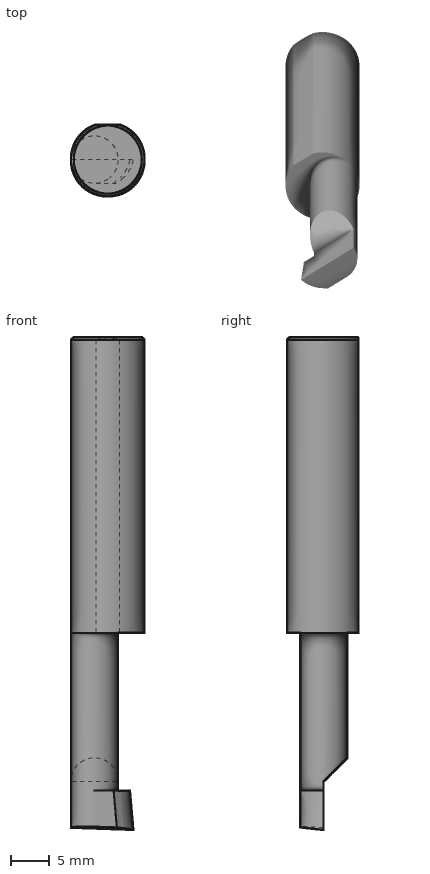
import cadquery as cq
import math


shank_diameter = 9.525
shank_radius = shank_diameter / 2
shank_length = 38.1
flat_offset = 4.51
chamfer_width = 0.38
chamfer_height = 0.38
overall_length = 63.49
shank_base_z = overall_length - shank_length

neck_diameter = 6.1
neck_radius = neck_diameter / 2
neck_x = neck_radius - shank_radius

ramp_start_z = 6.25
ramp_angle = 45

head_height = 5.08
tip_x = 3.31
side_clearance = 5
belly_x = 1.2
bevel_width = 0.9
bevel_angle = 40
arc_start_angle = 46

end_slope_x = 2
end_slope_y = 5


def make_shank():
    """Round shank with a chamfered top and one full-length locating flat."""
    half_profile = [
        (0, shank_base_z),
        (shank_radius, shank_base_z),
        (shank_radius, overall_length - chamfer_height),
        (shank_radius - chamfer_width, overall_length),
        (0, overall_length),
    ]
    shank = cq.Workplane("XZ").polyline(half_profile).close().revolve(360, (0, 0), (0, 1))
    beyond_flat = cq.Workplane("XY").box(
        shank_diameter, shank_diameter, overall_length, centered=(True, False, False)
    )
    return shank.cut(beyond_flat.translate((0, flat_offset, 0)))


def make_neck():
    """Plain round neck from the shank to the tip level."""
    return cq.Workplane("XY").center(neck_x, 0).circle(neck_radius).extrude(shank_base_z)


def make_chip_relief():
    """Volume on the +Y side, from the cutting face up to the ramp."""
    ramp_rise = shank_radius * math.tan(math.radians(ramp_angle))
    side_profile = [
        (0, 0),
        (shank_radius, 0),
        (shank_radius, ramp_start_z + ramp_rise),
        (0, ramp_start_z),
    ]
    side = cq.Workplane("YZ").polyline(side_profile).close()
    return side.extrude(shank_radius, both=True)


def head_section(workplane, shift):
    """Head outline with its cutting side moved by shift along X."""
    bevel_start = (belly_x + shift, -neck_radius)
    bevel_drop = bevel_width * math.tan(math.radians(bevel_angle))
    bevel_end = (bevel_start[0] + bevel_width, bevel_start[1] + bevel_drop)
    tip = (tip_x + shift, 0)

    chord = (tip[0] - bevel_end[0], tip[1] - bevel_end[1])
    chord_length = math.hypot(*chord)
    half_turn = math.atan2(chord[1], chord[0]) - math.radians(arc_start_angle)
    sagitta = chord_length / 2 * math.tan(half_turn / 2)
    middle = (
        (bevel_end[0] + tip[0]) / 2 + sagitta * chord[1] / chord_length,
        (bevel_end[1] + tip[1]) / 2 - sagitta * chord[0] / chord_length,
    )
    return (
        workplane.moveTo(neck_x, 0)
        .lineTo(neck_x, -neck_radius)
        .lineTo(*bevel_start)
        .lineTo(*bevel_end)
        .threePointArc(middle, tip)
        .close()
    )


def make_head():
    """Head whose cutting side leans outward towards the tip."""
    lean = head_height * math.tan(math.radians(side_clearance))
    lower = head_section(cq.Workplane("XY"), 0)
    upper = head_section(lower.workplane(offset=head_height), -lean)
    return upper.loft(ruled=True)


def make_end_clearance():
    """Volume below the sloping end face, whose lowest point is the tip."""
    size = overall_length
    block = cq.Workplane("XY").box(size, size, size, centered=(True, True, False))
    block = block.translate((0, 0, -size))
    block = block.rotate((0, 0, 0), (1, 0, 0), -end_slope_y)
    block = block.rotate((0, 0, 0), (0, 1, 0), end_slope_x)
    return block.translate((tip_x, 0, 0))


cutting_end = make_neck().cut(make_chip_relief()).union(make_head())
cutting_end = cutting_end.cut(make_end_clearance())
result = make_shank().union(cutting_end)